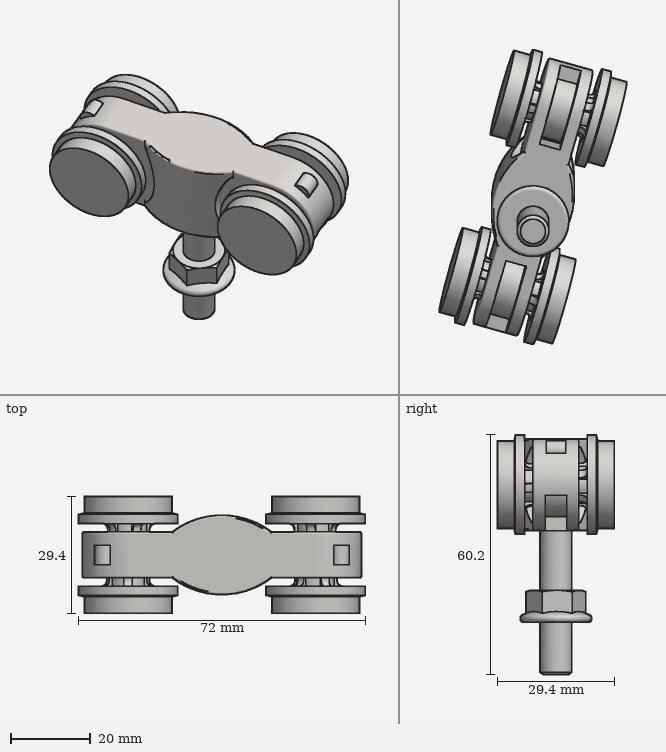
import cadquery as cq
import math


OVERALL_LENGTH = 72.0
OVERALL_WIDTH = 29.4
OVERALL_HEIGHT = 60.2

FLANGE_RADIUS = 25.0 / 2
TREAD_RADIUS = 22.0 / 2
FLANGE_INNER_Y = 7.85
FLANGE_OUTER_Y = 10.15
TREAD_START_Y = 10.5
AXLE_X = OVERALL_LENGTH / 2 - FLANGE_RADIUS

HUB_RADIUS = 4.7
RIB_COUNT = 5
RIB_TIP_RADIUS = 5.4
RIB_FLARE_RADIUS = 1.5
RIB_WIDTH = 2.15
FIRST_RIB_ANGLES = {(-1, -1): 90, (-1, 1): 65, (1, -1): 63, (1, 1): 103}

BODY_RADIUS = 11.5
BODY_HALF_WIDTH = 5.75
BULGE_HALF_WIDTH = 10.0
BULGE_HALF_LENGTH = 12.4
EDGE_ROUND = 0.5
WHEEL_CLEARANCE_RADIUS = 15.0

PIN_DIAMETER = 5.0
PIN_LENGTH = 5.0
PIN_OFFSET_X = 6.0
PIN_OFFSET_Z = 8.6

SLOT_HALF_WIDTH = 2.7
SLOT_TOP_Z = -2.6
SLOT_CORE_RADIUS = 8.1

STUD_RADIUS = 8.0 / 2
STUD_BOTTOM_Z = FLANGE_RADIUS - OVERALL_HEIGHT
STUD_TIP_HEIGHT = 0.7
STUD_TIP_INSET = 0.9

NUT_TOP_Z = -26.5
NUT_BOTTOM_Z = -34.55
NUT_ACROSS_FLATS = 13.0
NUT_TURN = 2.6
NUT_CORNER_DROP = 0.35
NUT_FLANGE_RADIUS = 9.0
NUT_RIM_RADIUS = 1.0
NUT_CONE_ANGLE = 24


def cylinder_y(radius, y_start, y_end, x=0.0, z=0.0):
    """Cylinder along Y between two Y positions."""
    axis = cq.Vector(0, 1, 0)
    return cq.Workplane(cq.Solid.makeCylinder(radius, y_end - y_start, cq.Vector(x, y_start, z), axis))


def revolve_y(profile):
    """Revolve an XY profile about the Y axis."""
    return profile.close().revolve(360, (0, 0), (0, 1))


def revolve_z(profile):
    """Revolve an XZ profile about the Z axis."""
    return profile.close().revolve(360, (0, 0), (0, 1))


def body_shell():
    """Round-ended bar with a lens-shaped bulge in the middle, all outer edges rounded."""
    side = (
        cq.Workplane("XZ")
        .slot2D(2 * (AXLE_X + BODY_RADIUS), 2 * BODY_RADIUS)
        .extrude(BULGE_HALF_WIDTH + 0.7, both=True)
    )
    end_x = AXLE_X + BODY_RADIUS
    plan = (
        cq.Workplane("XY")
        .moveTo(-end_x, -BODY_HALF_WIDTH)
        .lineTo(-BULGE_HALF_LENGTH, -BODY_HALF_WIDTH)
        .threePointArc((0, -BULGE_HALF_WIDTH), (BULGE_HALF_LENGTH, -BODY_HALF_WIDTH))
        .lineTo(end_x, -BODY_HALF_WIDTH)
        .lineTo(end_x, BODY_HALF_WIDTH)
        .lineTo(BULGE_HALF_LENGTH, BODY_HALF_WIDTH)
        .threePointArc((0, BULGE_HALF_WIDTH), (-BULGE_HALF_LENGTH, BODY_HALF_WIDTH))
        .lineTo(-end_x, BODY_HALF_WIDTH)
        .close()
        .extrude(BODY_RADIUS, both=True)
    )
    shell = side.intersect(plan)
    outline = shell.faces("|Z or >X or <X").edges("not |Y")
    return outline.fillet(EDGE_ROUND)


def wheel_clearance(x_side, y_side):
    """Round-cornered disc that clears the bulge beside one wheel."""
    inner_radius = WHEEL_CLEARANCE_RADIUS - EDGE_ROUND
    corner_mid = EDGE_ROUND * (1 - math.sqrt(0.5))
    profile = (
        cq.Workplane("XY")
        .moveTo(0, BODY_HALF_WIDTH)
        .lineTo(inner_radius, BODY_HALF_WIDTH)
        .threePointArc(
            (WHEEL_CLEARANCE_RADIUS - corner_mid, BODY_HALF_WIDTH + corner_mid),
            (WHEEL_CLEARANCE_RADIUS, BODY_HALF_WIDTH + EDGE_ROUND),
        )
        .lineTo(WHEEL_CLEARANCE_RADIUS, BULGE_HALF_WIDTH + 0.7)
        .lineTo(0, BULGE_HALF_WIDTH + 0.7)
    )
    disc = revolve_y(profile)
    if y_side < 0:
        disc = disc.mirror("XZ")
    return disc.translate((x_side * AXLE_X, 0, 0))


def end_slot(x_side):
    """Cutter for the slot below one axle, leaving a round core about the axle."""
    depth = BODY_RADIUS + SLOT_TOP_Z
    length = BODY_RADIUS + SLOT_CORE_RADIUS
    centre_x = x_side * (AXLE_X + (BODY_RADIUS - SLOT_CORE_RADIUS) / 2)
    block = (
        cq.Workplane("XY")
        .box(length, 2 * SLOT_HALF_WIDTH, depth, centered=(True, True, False))
        .translate((centre_x, 0, -BODY_RADIUS))
    )
    core = cylinder_y(SLOT_CORE_RADIUS, -SLOT_HALF_WIDTH, SLOT_HALF_WIDTH, x_side * AXLE_X)
    return block.cut(core)


def carrier_body():
    """Body with wheel clearances, end slots and cross pins."""
    body = body_shell()
    for x_side, y_side in FIRST_RIB_ANGLES:
        body = body.cut(wheel_clearance(x_side, y_side))
    for x_side in (-1, 1):
        body = body.cut(end_slot(x_side))
        pin = cylinder_y(
            PIN_DIAMETER / 2,
            -PIN_LENGTH / 2,
            PIN_LENGTH / 2,
            x_side * (AXLE_X + PIN_OFFSET_X),
            PIN_OFFSET_Z,
        )
        body = body.union(pin)
    return body


def ribbed_hub(first_angle):
    """Hub cylinder with radial ribs that flare out towards the wheel, on the +Y side."""
    flare_start_y = FLANGE_INNER_Y - RIB_FLARE_RADIUS
    flare_tip = RIB_TIP_RADIUS + RIB_FLARE_RADIUS
    flare_mid = RIB_FLARE_RADIUS * (1 - math.sqrt(0.5))
    profile = (
        cq.Workplane("XY")
        .moveTo(0, BODY_HALF_WIDTH)
        .lineTo(RIB_TIP_RADIUS, BODY_HALF_WIDTH)
        .lineTo(RIB_TIP_RADIUS, flare_start_y)
        .threePointArc(
            (RIB_TIP_RADIUS + flare_mid, FLANGE_INNER_Y - flare_mid),
            (flare_tip, FLANGE_INNER_Y),
        )
        .lineTo(0, FLANGE_INNER_Y)
    )
    flared_disc = revolve_y(profile)
    hub = cylinder_y(HUB_RADIUS, BODY_HALF_WIDTH, FLANGE_INNER_Y)
    for index in range(RIB_COUNT):
        angle = first_angle + index * 360 / RIB_COUNT
        spoke = (
            cq.Workplane("XY")
            .box(2 * flare_tip, FLANGE_INNER_Y, RIB_WIDTH, centered=(False, False, True))
            .translate((0, BODY_HALF_WIDTH, 0))
            .rotate((0, 0, 0), (0, 1, 0), -angle)
        )
        hub = hub.union(flared_disc.intersect(spoke))
    return hub


def wheel(x_side, y_side):
    """Flanged wheel with its hub."""
    profile = (
        cq.Workplane("XY")
        .moveTo(0, FLANGE_INNER_Y)
        .lineTo(FLANGE_RADIUS, FLANGE_INNER_Y)
        .lineTo(FLANGE_RADIUS, FLANGE_OUTER_Y)
        .lineTo(TREAD_RADIUS, TREAD_START_Y)
        .lineTo(TREAD_RADIUS, OVERALL_WIDTH / 2)
        .lineTo(0, OVERALL_WIDTH / 2)
    )
    disc = revolve_y(profile).union(ribbed_hub(FIRST_RIB_ANGLES[x_side, y_side]))
    if y_side < 0:
        disc = disc.mirror("XZ")
    return disc.translate((x_side * AXLE_X, 0, 0))


def stud():
    """Hanging stud with a bevelled tip."""
    profile = (
        cq.Workplane("XZ")
        .moveTo(0, STUD_BOTTOM_Z)
        .lineTo(STUD_RADIUS - STUD_TIP_INSET, STUD_BOTTOM_Z)
        .lineTo(STUD_RADIUS, STUD_BOTTOM_Z + STUD_TIP_HEIGHT)
        .lineTo(STUD_RADIUS, 0)
        .lineTo(0, 0)
    )
    return revolve_z(profile)


def flange_nut():
    """Hexagon nut with bevelled top corners on a conical, round-rimmed flange."""
    flat_radius = NUT_ACROSS_FLATS / 2
    corner_radius = flat_radius / math.cos(math.radians(30))
    hexagon = (
        cq.Workplane("XY")
        .workplane(offset=NUT_BOTTOM_Z + NUT_RIM_RADIUS)
        .polygon(6, 2 * corner_radius)
        .extrude(NUT_TOP_Z - NUT_BOTTOM_Z - NUT_RIM_RADIUS)
        .rotate((0, 0, 0), (0, 0, 1), 30 + NUT_TURN)
    )
    bevel_profile = (
        cq.Workplane("XZ")
        .moveTo(0, NUT_BOTTOM_Z)
        .lineTo(corner_radius, NUT_BOTTOM_Z)
        .lineTo(corner_radius, NUT_TOP_Z - NUT_CORNER_DROP)
        .lineTo(flat_radius, NUT_TOP_Z)
        .lineTo(0, NUT_TOP_Z)
    )
    hexagon = hexagon.intersect(revolve_z(bevel_profile))

    cone = math.radians(NUT_CONE_ANGLE)
    rim_x = NUT_FLANGE_RADIUS - NUT_RIM_RADIUS
    rim_z = NUT_BOTTOM_Z + NUT_RIM_RADIUS
    cone_edge_x = rim_x + NUT_RIM_RADIUS * math.sin(cone)
    cone_edge_z = rim_z + NUT_RIM_RADIUS * math.cos(cone)
    flange_profile = (
        cq.Workplane("XZ")
        .moveTo(0, NUT_BOTTOM_Z)
        .lineTo(rim_x, NUT_BOTTOM_Z)
        .threePointArc((NUT_FLANGE_RADIUS, rim_z), (cone_edge_x, cone_edge_z))
        .lineTo(STUD_RADIUS, cone_edge_z + (cone_edge_x - STUD_RADIUS) * math.tan(cone))
        .lineTo(0, cone_edge_z)
    )
    return hexagon.union(revolve_z(flange_profile))


result = carrier_body().union(stud()).union(flange_nut())
for x_side, y_side in FIRST_RIB_ANGLES:
    result = result.union(wheel(x_side, y_side))